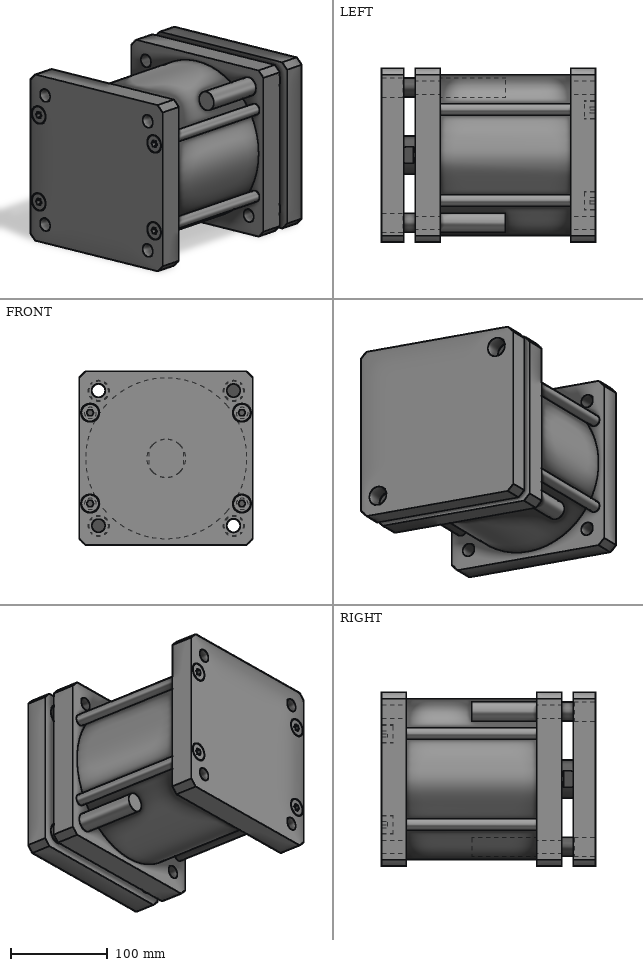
import cadquery as cq
import math

total_length = 222.0
cover_thickness = 26.0
tool_plate_thickness = 23.3
plate_gap = 11.8
tube_length = total_length - 2 * cover_thickness - plate_gap - tool_plate_thickness
rear_cover_y = cover_thickness + tube_length
rear_cover_end = rear_cover_y + cover_thickness
tool_plate_y = rear_cover_end + plate_gap

plate_side = 180.0
corner_turning_diameter = 245.3

tube_diameter = 167.0
piston_rod_diameter = 40.0
wrench_flat_width = 36.2
rod_end_chamfer_length = 1.8
rod_end_chamfer_inset = 0.2

corner_offset = 70.0
mount_hole_diameter = 13.8
guide_rod_diameter = 20.0
guide_rod_start = 93.7
bore_rim_diameter = 22.0
countersink_angle = 45
countersink_depth = (bore_rim_diameter - guide_rod_diameter) / 2

tie_offset_x = 78.5
tie_offset_z = 47.0
tie_rod_diameter = 12.0
tie_head_diameter = 18.0
tie_head_bore_diameter = 19.0
tie_head_depth = 12.0
socket_across_flats = 6.5
socket_depth = 6.0

guide_positions = [(-corner_offset, -corner_offset), (corner_offset, corner_offset)]
clear_positions = [(-corner_offset, corner_offset), (corner_offset, -corner_offset)]
tie_positions = [(x, z) for x in (-tie_offset_x, tie_offset_x) for z in (-tie_offset_z, tie_offset_z)]


def section_at(y):
    """Sketch plane across the Y axis, with local axes X and Z."""
    return cq.Workplane("XZ", origin=(0, y, 0))


def plate(y_start, thickness):
    """Square plate with its corners turned to a common circle."""
    square = section_at(y_start).rect(plate_side, plate_side).extrude(-thickness)
    turned_disc = section_at(y_start).circle(corner_turning_diameter / 2).extrude(-thickness)
    return square.intersect(turned_disc)


def bars(positions, diameter, y_start, y_end):
    """Round bars parallel to Y at the given (x, z) positions."""
    return section_at(y_start).pushPoints(positions).circle(diameter / 2).extrude(y_start - y_end)


def piston_rod():
    """Rod between rear cover and tool plate, with two wrench flats that run out at 45 degrees."""
    rod = bars([(0, 0)], piston_rod_diameter, rear_cover_end, tool_plate_y)
    rod = rod.faces(">Y").chamfer(rod_end_chamfer_length, rod_end_chamfer_inset)
    rod_radius = piston_rod_diameter / 2
    flat_x = wrench_flat_width / 2
    ramp_end_y = rear_cover_end + rod_radius - flat_x
    flats_outline = [
        (-rod_radius, rear_cover_end),
        (rod_radius, rear_cover_end),
        (flat_x, ramp_end_y),
        (flat_x, tool_plate_y),
        (-flat_x, tool_plate_y),
        (-flat_x, ramp_end_y),
    ]
    flats = cq.Workplane("XY").polyline(flats_outline).close().extrude(rod_radius, both=True)
    return rod.intersect(flats)


def tie_head_cut():
    """Thin ring around each tie rod head, and its hexagonal socket."""
    bore = bars(tie_positions, tie_head_bore_diameter, 0, tie_head_depth)
    head = bars(tie_positions, tie_head_diameter, 0, tie_head_depth)
    socket_corners = socket_across_flats / math.cos(math.radians(30))
    sockets = section_at(0).pushPoints(tie_positions).polygon(6, socket_corners).extrude(-socket_depth)
    return bore.cut(head).union(sockets)


def countersinks():
    """Conical countersinks of the guide rod bores, on the inner face of the tool plate."""
    rim = section_at(tool_plate_y).pushPoints(guide_positions + clear_positions)
    return rim.circle(bore_rim_diameter / 2).extrude(-countersink_depth, taper=countersink_angle)


front_cover = plate(0, cover_thickness)
rear_cover = plate(rear_cover_y, cover_thickness)
tool_plate = plate(tool_plate_y, tool_plate_thickness)

body = front_cover.union(rear_cover).union(tool_plate)
body = body.union(bars([(0, 0)], tube_diameter, cover_thickness, rear_cover_y))
body = body.union(bars(tie_positions, tie_rod_diameter, cover_thickness, rear_cover_y))
body = body.union(piston_rod())

body = body.cut(bars(clear_positions, mount_hole_diameter, 0, rear_cover_end))
body = body.cut(bars(clear_positions, guide_rod_diameter, tool_plate_y, total_length))
body = body.cut(bars(guide_positions, mount_hole_diameter, 0, cover_thickness))
body = body.cut(countersinks())
body = body.union(bars(guide_positions, guide_rod_diameter, guide_rod_start, total_length))

result = body.cut(tie_head_cut())